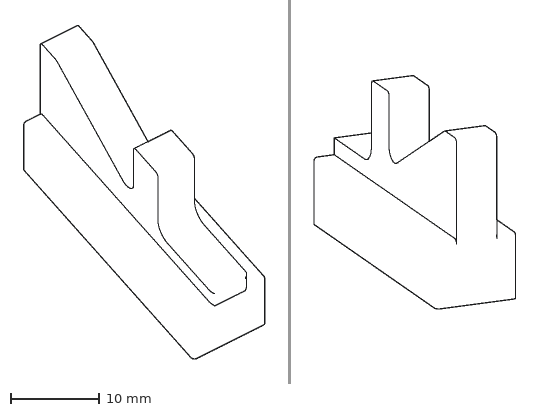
import cadquery as cq
import math

base_length = 35.0
base_width = 10.0
base_height = 8.0

web_thickness = 5.0
web_end_step = 0.01
web_length = base_length + web_end_step
web_height = 20.0
tail_height = 10.0

ramp_start = 3.3
ramp_angle = 30.0

post_start = 19.05
post_width = 5.0
post_end = post_start + post_width
ramp_foot_height = web_height - (post_start - ramp_start) * math.tan(math.radians(ramp_angle))

edge_radius = 0.5
ramp_foot_radius = 1.5
post_foot_radius = 2.0

web_foot = base_height - edge_radius


def make_base():
    """Bar with rounded upright and top edges; the bottom edges stay sharp."""
    bar = cq.Workplane("XY").box(
        base_length, base_width, base_height, centered=(False, True, False)
    )
    return bar.edges("|Z or >Z").fillet(edge_radius)


def round_cross_edge(body, x, z, radius):
    """Round the edge that crosses the web's thickness at the profile corner (x, z)."""
    corner = cq.selectors.NearestToPointSelector((x, 0, z))
    return body.edges("|Y").edges(corner).fillet(radius)


def make_web():
    """Web profile with ramp, post and tail, set into the top of the base."""
    profile = [
        (0, web_foot),
        (0, web_height),
        (ramp_start, web_height),
        (post_start, ramp_foot_height),
        (post_start, web_height),
        (post_end, web_height),
        (post_end, tail_height),
        (web_length, tail_height),
        (web_length, web_foot),
    ]
    web = cq.Workplane("XZ").polyline(profile).close().extrude(web_thickness / 2, both=True)

    web = round_cross_edge(web, post_start, ramp_foot_height, ramp_foot_radius)
    web = round_cross_edge(web, post_end, tail_height, post_foot_radius)
    for x in (0, ramp_start, post_start, post_end):
        web = round_cross_edge(web, x, web_height, edge_radius)

    return web.faces(">X").edges("|Z or >Z").fillet(edge_radius)


block = make_base().union(make_web())

result = cq.Compound.makeCompound([block.val()])